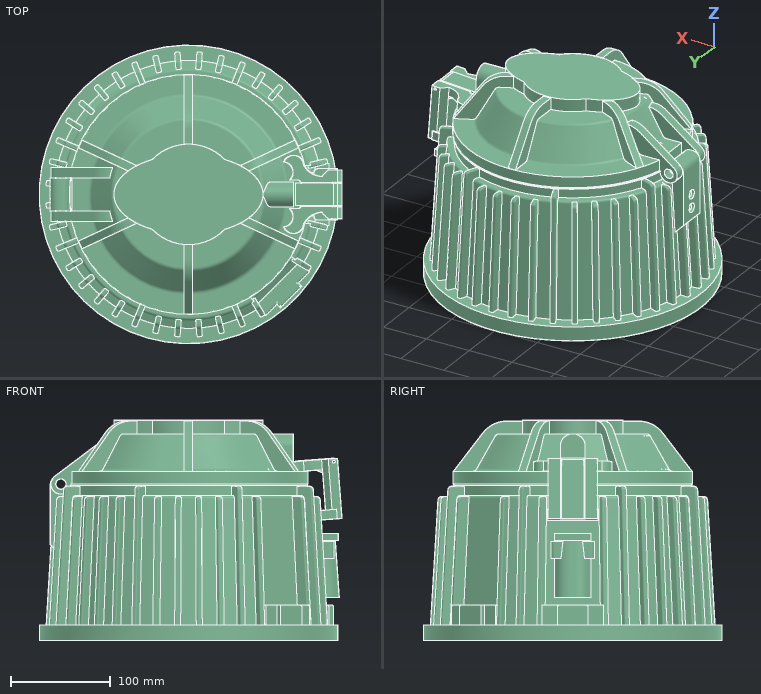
import cadquery as cq
import math

BASE_RADIUS = 150.0
BASE_HEIGHT = 15.8
WALL_BOTTOM_RADIUS = 134.5
WALL_TOP_RADIUS = 127.0
LEDGE_Z = 145.8
LEDGE_ROUNDING = 3.0
NECK_RADIUS = 119.0
RIM_RADIUS = 119.5
RIM_BOTTOM_Z = 155.8
RIM_TOP_Z = 157.5

RIB_COUNT = 40
RIB_PITCH = 360 / RIB_COUNT
RIB_WIDTH = 5.5
RIB_EDGE_ROUNDING = 1.5
RIB_TOP_ROUNDING = 4.0
RIB_FOOT_RADIUS = 143.3
RIB_LEAN = 0.06
RIB_TOP_Z = 144.8
RIB_INNER_RADIUS = 121.7
TALL_RIB_TOP_Z = 155.2
TALL_RIB_INNER_RADIUS = 115.5
TALL_RIB_ANGLES = [22.5 + 45 * index for index in range(8)]

STATION_ANGLES = [0, 315]
PAD_RADIUS = 141.0
PAD_HALF_WIDTH = 31.0
PAD_TOP_Z = 36.0
PAD_BLOCK_RADIUS = 145.8
PAD_BLOCK_HALF_WIDTH = 15.2
PAD_ROUNDING = 1.8
POCKET_HALF_WIDTH = 29.2
POCKET_BOTTOM_DISTANCE = 127.0
POCKET_TOP_DISTANCE = 121.0

DISK_RADIUS = 120.5
DISK_TOP_Z = 170.0
DISK_FLAT_X = -117.0
DOME_BOTTOM_RADIUS = 98.0
DOME_TOP_RADIUS = 76.7
DOME_TOP_Z = 207.8
DOME_ROUNDING = 5.0
PLATFORM_LENGTH_RADIUS = 75.0
PLATFORM_WIDTH_RADIUS = 40.2
PLATFORM_LOBE_RADIUS = 50.5
COVER_TOP_Z = 221.5
ARM_SKEW = 25
ARM_ANGLES = [90, 270, ARM_SKEW, 180 - ARM_SKEW, 180 + ARM_SKEW, -ARM_SKEW]
ARM_WIDTH = 8.5
ARM_TOP_Z = 220.5
ARM_OUTER_RADIUS = 120.0
ARM_CORNER_RADIUS = 81.2
ARM_ROUNDING = 30.5
BOSS_RADIUS = 12.5
BOSS_AXIS_Z = 195.5
BOSS_END_X = 105.3
BOSS_START_X = 67.0

HINGE_X = -128.0
HINGE_Z = 157.3
HINGE_RADIUS = 10.0
HINGE_HOLE_DIAMETER = 10.0
HINGE_ARM_INNER_Y = 16.7
HINGE_ARM_OUTER_Y = 27.0
HINGE_ARM_ANGLE = 37
HINGE_ARM_BEND_X = -94.3
HINGE_ARM_END_X = -82.2
HINGE_ARM_ROOT_X = -73.0
HINGE_ARM_TOP_Z = 200.5
BRACKET_HALF_WIDTH = 16.5
BRACKET_OUTER_X = -139.0
BRACKET_INNER_X = -118.7
BRACKET_TOP_Z = 165.0
BRACKET_TOP_ROUNDING = 9.0
BRACKET_BOTTOM_Z = 96.8
SCREW_HOLE_ZS = [110.0, 125.0]
SCREW_HOLE_DIAMETER = 6.0
SCREW_HEAD_DIAMETER = 10.0

CLASP_BEND_X = 115.0
CLASP_TILT = 4.3
CLASP_THICKNESS = 10.3
CLASP_LENGTH = 35.5
CLASP_BOTTOM = -50.2
LEG_INNER = 19.5
LEG_HALF_WIDTH = 24.5
NECK_START = -1.5
HORN_INNER_Y = 14.3
HORN_INNER_START = -13.0
HORN_HOLLOW = (-9.5, 22.0)
HORN_TIP = (-19.0, 32.5)
HORN_CREST = (-8.8, 39.3)
HORN_OUTER_END = (1.2, 29.5)
WAIST_START = (3.5, 26.0)
WAIST_MIDDLE = (10.3, 20.5)
WAIST_END = (LEG_INNER, 18.0)
HOOK_INNER = 8.0
HOOK_OUTER = 30.7
HOOK_HEIGHT = 9.7
HOOK_HALF_WIDTH = 26.0
HOOK_ROUNDING = 3.5
GUSSET_LENGTH = 6.0
GUSSET_HEIGHT = 3.0
GUSSET_HALF_WIDTH = 17.5
GROOVE_HALF_WIDTH = 12.2
GROOVE_DEPTH = 6.0
LEVER_HALF_WIDTH = 11.3
LEVER_START = -7.0
LEVER_RISE = 0.5
LEVER_SLOPE_LENGTH = 4.0
LEVER_SLOPE_DROP = 1.5
PIN_HOLE_DIAMETER = 2.5
PIN_HOLE_PLACE = (31.5, 7.3)

CATCH_HALF_WIDTH = 18.3
CATCH_BOTTOM_Z = 43.2
CATCH_TOP_Z = 100.5
CATCH_BOTTOM_X = 151.5
CATCH_TOP_X = 147.5
CATCH_ROUNDING = 15.2
CATCH_HEAD_X = 150.5
CATCH_HEAD_TOP_Z = 107.7
CATCH_EAR_X = 146.0
CATCH_EAR_HALF_WIDTH = 22.0
CATCH_EAR_BOTTOM_Z = 82.8
CATCH_EAR_TOP_Z = 99.5
CATCH_EAR_ROUNDING = 4.5
CATCH_INNER_X = 115.5


def box(x_range, y_range, z_range):
    """Box between the given coordinate pairs."""
    size = [high - low for low, high in (x_range, y_range, z_range)]
    corner = (x_range[0], y_range[0], z_range[0])
    return cq.Workplane("XY").box(*size, centered=False).translate(corner)


def slab(points, half_width):
    """XZ polygon extruded to both sides of the XZ plane."""
    return cq.Workplane("XZ").polyline(points).close().extrude(half_width, both=True)


def cylinder_along_y(x, z, diameter, half_length=BASE_RADIUS):
    return cq.Workplane("XZ").center(x, z).circle(diameter / 2).extrude(half_length, both=True)


def turned(shape, angle):
    """Shape turned about the Z axis."""
    return shape.rotate((0, 0, 0), (0, 0, 1), angle)


def make_core():
    """Base flange, tapered wall, neck and rim in one revolved shape."""
    return (
        cq.Workplane("XZ")
        .lineTo(BASE_RADIUS, 0)
        .lineTo(BASE_RADIUS, BASE_HEIGHT)
        .lineTo(WALL_BOTTOM_RADIUS, BASE_HEIGHT)
        .lineTo(WALL_TOP_RADIUS, LEDGE_Z - LEDGE_ROUNDING)
        .tangentArcPoint((WALL_TOP_RADIUS - LEDGE_ROUNDING, LEDGE_Z), relative=False)
        .lineTo(NECK_RADIUS, LEDGE_Z)
        .lineTo(NECK_RADIUS, RIM_BOTTOM_Z)
        .lineTo(RIM_RADIUS, RIM_BOTTOM_Z)
        .lineTo(RIM_RADIUS, RIM_TOP_Z)
        .lineTo(0, RIM_TOP_Z)
        .close()
        .revolve(360, (0, 0, 0), (0, 1, 0))
    )


def make_rib(inner_radius, top_z):
    """Upright rib on the +X side; its foot is sunk into the base flange."""
    foot_z = BASE_HEIGHT - 2 * RIB_EDGE_ROUNDING
    foot_radius = RIB_FOOT_RADIUS + RIB_LEAN * (BASE_HEIGHT - foot_z)
    top_radius = RIB_FOOT_RADIUS - RIB_LEAN * (top_z - BASE_HEIGHT)
    outline = [(inner_radius, foot_z), (foot_radius, foot_z), (top_radius, top_z), (inner_radius, top_z)]
    rib = slab(outline, RIB_WIDTH / 2)
    rib = rib.edges(cq.NearestToPointSelector((top_radius, 0, top_z))).fillet(RIB_TOP_ROUNDING)
    return rib.faces("<Y or >Y").edges().fillet(RIB_EDGE_ROUNDING)


def rib_is_replaced(angle):
    """True for the two ribs that give way to each flat station."""
    return any(abs((angle - station + 180) % 360 - 180) < RIB_PITCH for station in STATION_ANGLES)


def add_ribs(body):
    short_rib = make_rib(RIB_INNER_RADIUS, RIB_TOP_Z)
    tall_rib = make_rib(TALL_RIB_INNER_RADIUS, TALL_RIB_TOP_Z)
    ribs = []
    for index in range(RIB_COUNT):
        angle = (index + 0.5) * RIB_PITCH
        if not rib_is_replaced(angle):
            rib = tall_rib if angle in TALL_RIB_ANGLES else short_rib
            ribs.append(turned(rib, angle).val())
    return cq.Workplane(body.val().fuse(*ribs))


def make_pocket():
    """Sloping flat cut into the wall on the +X side, rounded into the ledge at its top."""
    return (
        cq.Workplane("XZ")
        .moveTo(BASE_RADIUS, LEDGE_Z)
        .lineTo(BASE_RADIUS, PAD_TOP_Z)
        .lineTo(POCKET_BOTTOM_DISTANCE, PAD_TOP_Z)
        .lineTo(POCKET_TOP_DISTANCE, LEDGE_Z - LEDGE_ROUNDING)
        .tangentArcPoint((POCKET_TOP_DISTANCE - LEDGE_ROUNDING, LEDGE_Z), relative=False)
        .close()
        .extrude(POCKET_HALF_WIDTH, both=True)
    )


def make_pad():
    """Low pad with a block standing out of its middle, on the +X side."""
    pad_inner = RIB_INNER_RADIUS
    pad = box((pad_inner, PAD_RADIUS), (-PAD_HALF_WIDTH, PAD_HALF_WIDTH), (0, PAD_TOP_Z))
    block_width = (-PAD_BLOCK_HALF_WIDTH, PAD_BLOCK_HALF_WIDTH)
    block = box((pad_inner, PAD_BLOCK_RADIUS), block_width, (0, PAD_TOP_Z))
    front_edges = cq.selectors.BoxSelector(
        (PAD_RADIUS - PAD_ROUNDING, -PAD_HALF_WIDTH, PAD_TOP_Z - PAD_ROUNDING),
        (PAD_BLOCK_RADIUS + PAD_ROUNDING, PAD_HALF_WIDTH, PAD_TOP_Z + PAD_ROUNDING),
    )
    return pad.union(block).faces(">Z").edges(front_edges).fillet(PAD_ROUNDING)


def make_housing(core, bracket):
    body = core
    for angle in STATION_ANGLES:
        body = body.cut(turned(make_pocket(), angle))
    body = add_ribs(body)
    for angle in STATION_ANGLES:
        body = body.union(turned(make_pad(), angle))
    return body.cut(bracket)


def make_dome():
    """Disk with a chord cut off at the hinge, under a truncated cone with rounded edges."""
    disk = cq.Workplane("XY").workplane(offset=RIM_TOP_Z).circle(DISK_RADIUS).extrude(DISK_TOP_Z - RIM_TOP_Z)
    disk = disk.intersect(box((DISK_FLAT_X, DISK_RADIUS), (-DISK_RADIUS, DISK_RADIUS), (0, COVER_TOP_Z)))
    cone = cq.Workplane("XY").add(
        cq.Solid.makeCone(
            DOME_BOTTOM_RADIUS, DOME_TOP_RADIUS, DOME_TOP_Z - DISK_TOP_Z, cq.Vector(0, 0, DISK_TOP_Z)
        )
    )
    dome = disk.union(cone)
    for z in (DISK_TOP_Z, DOME_TOP_Z):
        dome = dome.edges(cq.NearestToPointSelector((0, 0, z))).fillet(DOME_ROUNDING)
    return dome


def make_platform():
    """Flat top: an ellipse with a wider round lobe across its middle."""
    base = cq.Workplane("XY").workplane(offset=DISK_TOP_Z)
    height = COVER_TOP_Z - DISK_TOP_Z
    ellipse = base.ellipse(PLATFORM_LENGTH_RADIUS, PLATFORM_WIDTH_RADIUS).extrude(height)
    return ellipse.union(base.circle(PLATFORM_LOBE_RADIUS).extrude(height))


def make_arm():
    """Brace on the +X side, level at first and then sloping down to the disk's edge."""
    outline = [
        (0, DISK_TOP_Z),
        (ARM_OUTER_RADIUS, DISK_TOP_Z),
        (ARM_CORNER_RADIUS, ARM_TOP_Z),
        (0, ARM_TOP_Z),
    ]
    corner = cq.NearestToPointSelector((ARM_CORNER_RADIUS, 0, ARM_TOP_Z))
    return slab(outline, ARM_WIDTH / 2).edges(corner).fillet(ARM_ROUNDING)


def make_boss():
    """Round-topped boss standing on the disk, opposite the hinge."""
    length = BOSS_END_X - BOSS_START_X
    start = cq.Workplane("YZ").workplane(offset=BOSS_START_X)
    round_top = start.center(0, BOSS_AXIS_Z).circle(BOSS_RADIUS).extrude(length)
    stem = box((BOSS_START_X, BOSS_END_X), (-BOSS_RADIUS, BOSS_RADIUS), (DISK_TOP_Z, BOSS_AXIS_Z))
    return round_top.union(stem)


def make_hinge_arm():
    """Hinge arm centred on the XZ plane, without its pin hole."""
    angle = math.radians(HINGE_ARM_ANGLE)
    start_x = HINGE_X - HINGE_RADIUS * math.sin(angle)
    start_z = HINGE_Z + HINGE_RADIUS * math.cos(angle)
    bend_z = start_z + (HINGE_ARM_BEND_X - start_x) * math.tan(angle)
    half_width = (HINGE_ARM_OUTER_Y - HINGE_ARM_INNER_Y) / 2
    arm = (
        cq.Workplane("XZ")
        .moveTo(HINGE_X, RIM_TOP_Z)
        .lineTo(start_x, start_z)
        .lineTo(HINGE_ARM_BEND_X, bend_z)
        .tangentArcPoint((HINGE_ARM_END_X, HINGE_ARM_TOP_Z), relative=False)
        .lineTo(HINGE_ARM_ROOT_X, HINGE_ARM_TOP_Z)
        .lineTo(HINGE_ARM_ROOT_X, RIM_TOP_Z)
        .lineTo(DISK_FLAT_X, RIM_TOP_Z)
        .close()
        .extrude(half_width, both=True)
    )
    return arm.union(cylinder_along_y(HINGE_X, HINGE_Z, 2 * HINGE_RADIUS, half_width))


def make_cover(core):
    """Braced dome with its hinge arms, cut clear of the housing's rim."""
    cover = make_dome().union(make_platform()).union(make_boss())
    for angle in ARM_ANGLES:
        cover = cover.union(turned(make_arm(), angle))
    arm_y = (HINGE_ARM_INNER_Y + HINGE_ARM_OUTER_Y) / 2
    for y in (-arm_y, arm_y):
        cover = cover.union(make_hinge_arm().translate((0, y, 0)))
    pin_hole = cylinder_along_y(HINGE_X, HINGE_Z, HINGE_HOLE_DIAMETER)
    return cover.cut(pin_hole).cut(core)


def make_bracket(core):
    """Block lying against the housing wall, with the hinge hole and two countersunk screw holes."""
    outline = [
        (BRACKET_OUTER_X, BRACKET_TOP_Z),
        (BRACKET_INNER_X, BRACKET_TOP_Z),
        (BRACKET_INNER_X, BRACKET_BOTTOM_Z - (BRACKET_INNER_X - BRACKET_OUTER_X)),
        (BRACKET_OUTER_X, BRACKET_BOTTOM_Z),
    ]
    bracket = slab(outline, BRACKET_HALF_WIDTH)
    bracket = bracket.faces(">Z").edges("|Y").fillet(BRACKET_TOP_ROUNDING)
    bracket = bracket.cut(core)
    bracket = bracket.cut(cylinder_along_y(HINGE_X, HINGE_Z, HINGE_HOLE_DIAMETER))
    head_depth = (SCREW_HEAD_DIAMETER - SCREW_HOLE_DIAMETER) / 2
    length = BRACKET_INNER_X - BRACKET_OUTER_X
    for z in SCREW_HOLE_ZS:
        outer_face = cq.Vector(BRACKET_OUTER_X, 0, z)
        inward = cq.Vector(1, 0, 0)
        hole = cq.Solid.makeCylinder(SCREW_HOLE_DIAMETER / 2, length, outer_face, inward)
        sink = cq.Solid.makeCone(
            SCREW_HEAD_DIAMETER / 2, SCREW_HOLE_DIAMETER / 2, head_depth, outer_face, inward
        )
        bracket = bracket.cut(cq.Workplane(hole)).cut(cq.Workplane(sink))
    return bracket


def tilted(shape):
    """Moves a shape from the tilted frame to its place on the cover's disk."""
    placed = shape.rotate((0, 0, 0), (0, 1, 0), -CLASP_TILT)
    return placed.translate((CLASP_BEND_X, 0, DISK_TOP_Z))


def make_clasp_plan(thickness):
    """Plate with two curved horns, a waist and a wide outer end; x is measured from the bend."""
    half = (
        cq.Workplane("XY")
        .moveTo(NECK_START, 0)
        .lineTo(NECK_START, GROOVE_HALF_WIDTH)
        .lineTo(NECK_START - (HORN_INNER_Y - GROOVE_HALF_WIDTH), HORN_INNER_Y)
        .lineTo(HORN_INNER_START, HORN_INNER_Y)
        .threePointArc(HORN_HOLLOW, HORN_TIP)
        .threePointArc(HORN_CREST, HORN_OUTER_END)
        .lineTo(*WAIST_START)
        .spline([WAIST_MIDDLE, WAIST_END], includeCurrent=True)
        .lineTo(LEG_INNER + LEG_HALF_WIDTH - WAIST_END[1], LEG_HALF_WIDTH)
        .lineTo(CLASP_LENGTH, LEG_HALF_WIDTH)
        .lineTo(CLASP_LENGTH, 0)
        .close()
        .extrude(thickness)
    )
    return half.union(half.mirror("XZ"))


def make_clasp(cover):
    """Horned strap on the disk, with a leg hanging from it and a hook at the leg's end."""
    wide = DISK_RADIUS
    plan = make_clasp_plan(CLASP_THICKNESS)
    leg = make_clasp_plan(CLASP_THICKNESS - CLASP_BOTTOM).translate((0, 0, CLASP_BOTTOM))
    leg = leg.intersect(box((LEG_INNER, wide), (-wide, wide), (-wide, wide)))
    hook_y = (-HOOK_HALF_WIDTH, HOOK_HALF_WIDTH)
    hook = box((HOOK_INNER, HOOK_OUTER), hook_y, (CLASP_BOTTOM, CLASP_BOTTOM + HOOK_HEIGHT))
    hook = hook.faces("<X").edges("|Z").fillet(HOOK_ROUNDING)
    gusset_outline = [(LEG_INNER - GUSSET_LENGTH, 0), (LEG_INNER, 0), (LEG_INNER, -GUSSET_HEIGHT)]
    gusset = slab(gusset_outline, GUSSET_HALF_WIDTH)
    groove_y = (-GROOVE_HALF_WIDTH, GROOVE_HALF_WIDTH)
    floor = CLASP_THICKNESS - GROOVE_DEPTH
    top_groove = box((-wide, wide), groove_y, (floor, wide))
    leg_groove = box((CLASP_LENGTH - GROOVE_DEPTH, wide), groove_y, (-wide, wide))
    pin_hole = cylinder_along_y(*PIN_HOLE_PLACE, PIN_HOLE_DIAMETER)
    clasp = plan.union(leg).union(gusset).union(hook)
    clasp = clasp.cut(top_groove).cut(leg_groove).cut(pin_hole)
    return tilted(clasp).cut(cover)


def make_lever():
    """L-shaped bar lying in the groove over the strap and down the leg of the clasp."""
    bend = CLASP_LENGTH - GROOVE_DEPTH
    floor = CLASP_THICKNESS - GROOVE_DEPTH
    top = CLASP_THICKNESS + LEVER_RISE
    outline = [
        (LEVER_START, floor),
        (bend, floor),
        (bend, CLASP_BOTTOM),
        (CLASP_LENGTH, CLASP_BOTTOM),
        (CLASP_LENGTH, top - LEVER_SLOPE_DROP),
        (CLASP_LENGTH - LEVER_SLOPE_LENGTH, top),
        (LEVER_START, top),
    ]
    lever = slab(outline, LEVER_HALF_WIDTH)
    return tilted(lever.cut(cylinder_along_y(*PIN_HOLE_PLACE, PIN_HOLE_DIAMETER)))


def make_catch(housing):
    """Rounded block with a head plate and side ears, standing on the pocket floor below the clasp."""
    outline = [
        (CATCH_INNER_X, CATCH_BOTTOM_Z),
        (CATCH_BOTTOM_X, CATCH_BOTTOM_Z),
        (CATCH_TOP_X, CATCH_TOP_Z),
        (CATCH_INNER_X, CATCH_TOP_Z),
    ]
    block = slab(outline, CATCH_HALF_WIDTH)
    mid_x = (CATCH_BOTTOM_X + CATCH_TOP_X) / 2
    mid_z = (CATCH_BOTTOM_Z + CATCH_TOP_Z) / 2
    for y in (-CATCH_HALF_WIDTH, CATCH_HALF_WIDTH):
        block = block.edges(cq.NearestToPointSelector((mid_x, y, mid_z))).fillet(CATCH_ROUNDING)
    head_y = (-CATCH_HALF_WIDTH, CATCH_HALF_WIDTH)
    head = box((CATCH_INNER_X, CATCH_HEAD_X), head_y, (CATCH_TOP_Z, CATCH_HEAD_TOP_Z))
    ear_y = (-CATCH_EAR_HALF_WIDTH, CATCH_EAR_HALF_WIDTH)
    ears = box((CATCH_INNER_X, CATCH_EAR_X), ear_y, (CATCH_EAR_BOTTOM_Z, CATCH_EAR_TOP_Z))
    ears = ears.faces(">X").edges("|Z").fillet(CATCH_EAR_ROUNDING)
    return block.union(head).union(ears).cut(housing)


core = make_core()
bracket = make_bracket(core)
housing = make_housing(core, bracket)
cover = make_cover(core)
clasp = make_clasp(cover)
lever = make_lever()
catch = make_catch(housing)

result = cq.Compound.makeCompound(
    [housing.val(), cover.val(), bracket.val(), clasp.val(), lever.val(), catch.val()]
)